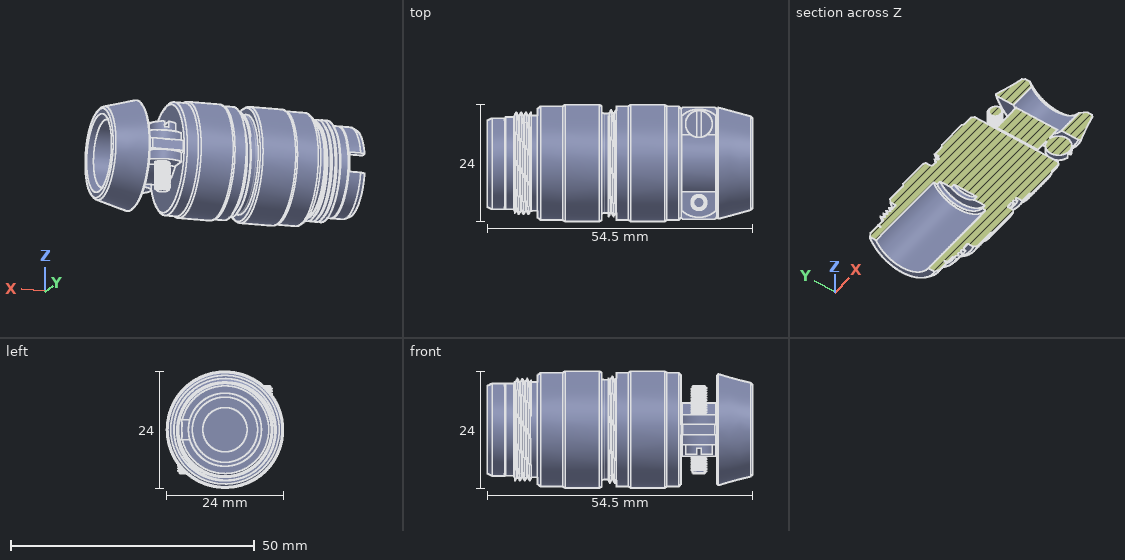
import cadquery as cq

TOTAL_LENGTH = 54.5

NOSE_TIP_RADIUS = 9.0
NOSE_RADIUS = 9.5
NOSE_CHAMFER_LENGTH = 1.05
NOSE_GROOVE_RADIUS = 8.85
NOSE_GROOVE_START = 3.6
NOSE_GROOVE_END = 3.8

THREAD_PITCH = 1.0
THREAD_DEPTH = 0.7
THREAD_BASE_WIDTH = 0.9
THREAD_OVERLAP = 0.1
FRONT_THREAD_RAMP_START = 5.45
FRONT_THREAD_START = 5.65
FRONT_THREAD_END = 9.05
FRONT_THREAD_CREST = 5.74
FRONT_THREAD_ROOT_RADIUS = 9.8
REAR_THREAD_START = 24.9
REAR_THREAD_CREST = 25.2
REAR_THREAD_ROOT_RADIUS = 10.25

SLEEVE_RADIUS = 11.7
BAND_RADIUS = 12.0
SLEEVE_EDGE_RADIUS = 11.15
FRONT_SLEEVE_START = 10.3
FRONT_SLEEVE_CHAMFER_LENGTH = 0.7
FRONT_BAND_START = 15.5
FRONT_SLEEVE_END = 23.55
REAR_SLEEVE_START = 26.55
REAR_BAND_START = 29.0
REAR_BAND_END = 36.9
REAR_SLEEVE_END = 39.8
REAR_SLEEVE_CHAMFER_LENGTH = 0.5
BAND_BEVEL_LENGTH = 0.5
GROOVE_SHOULDER_RADIUS = 10.35
GROOVE_SHOULDER_END = 24.05

BORE_RADIUS = 7.5
BORE_DEPTH = 20.0
BORE_STEP_RADIUS = 6.7
BORE_STEP_DEPTH = 1.0
BORE_BOTTOM_RADIUS = 4.55
BORE_BOTTOM_DEPTH = 1.0
KEYWAY_WIDTH = 4.1
KEYWAY_LENGTH = 3.3

CONE_START = 47.1
CONE_FRONT_RADIUS = 11.0
CONE_RADIUS = 11.45
CONE_FRONT_CHAMFER = 0.35
CONE_REAR_RADIUS = 9.65
CONE_TIP_RADIUS = 9.2
CONE_REAR_CHAMFER = 0.45
CONE_BORE_RADIUS = 7.0
CONE_BORE_CHAMFER = 1.1

CLAMP_CENTER = (REAR_SLEEVE_END + CONE_START) / 2
WEB_HALF_WIDTH = 11.5
WEB_THICKNESS = 2.15
WEB_CORNER_CHAMFER = 0.35
CLAMP_LENGTH = 6.95
EAR_TOP = 3.05
EAR_TIP = 11.1
EAR_CORNER = 9.75
SADDLE_HALF_WIDTH = 5.82
SADDLE_TOP = 5.5

SCREW_OFFSET = 8.05
SCREW_RADIUS = 1.6
SCREW_ROOT_RADIUS = 1.32
SCREW_PITCH = 0.5
SCREW_THREAD_BASE_WIDTH = 0.42
SCREW_TIP = 9.0
SCREW_TIP_CHAMFER = 0.2
SCREW_THREAD_END = SCREW_TIP - 2 * SCREW_TIP_CHAMFER
SCREW_HEAD_RADIUS = 2.75
SCREW_HEAD_HEIGHT = 1.95
SCREW_SLOT_WIDTH = 0.95
SCREW_SLOT_DEPTH = 1.2


def revolve_about_x(points):
    """Solid of revolution about X from (x, radius) points."""
    return cq.Workplane("XY").polyline(points).close().revolve(360, (0, 0, 0), (1, 0, 0))


def cylinder_along_x(start, length, radius):
    return cq.Workplane("YZ", origin=(start, 0, 0)).circle(radius).extrude(length)


def helical_ridge(pitch, height, root_radius, crest_radius, base_width):
    """Right-hand V ridge about Z whose crest starts on +X at height zero."""
    foot_radius = root_radius - THREAD_OVERLAP
    helix = cq.Wire.makeHelix(pitch, height, root_radius)
    profile = (
        cq.Workplane("XZ")
        .polyline([(foot_radius, -base_width / 2), (crest_radius, 0), (foot_radius, base_width / 2)])
        .close()
    )
    return profile.sweep(cq.Workplane(obj=helix), isFrenet=True)


def body_thread(start, end, first_crest, root_radius):
    """Thread about X, cut square at both ends; its crest crosses the underside at first_crest."""
    crest_radius = root_radius + THREAD_DEPTH
    helix_start = first_crest - THREAD_PITCH
    helix_length = end - helix_start + THREAD_PITCH
    ridge = helical_ridge(THREAD_PITCH, helix_length, root_radius, crest_radius, THREAD_BASE_WIDTH)
    ridge = ridge.rotate((0, 0, 0), (0, 1, 0), 90).translate((helix_start, 0, 0))
    return ridge.intersect(cylinder_along_x(start, end - start, crest_radius + THREAD_DEPTH))


def make_housing():
    housing = revolve_about_x([
        (0, 0),
        (0, NOSE_TIP_RADIUS),
        (NOSE_CHAMFER_LENGTH, NOSE_RADIUS),
        (NOSE_GROOVE_START, NOSE_RADIUS),
        (NOSE_GROOVE_START, NOSE_GROOVE_RADIUS),
        (NOSE_GROOVE_END, NOSE_RADIUS),
        (FRONT_THREAD_RAMP_START, NOSE_RADIUS),
        (FRONT_THREAD_START, FRONT_THREAD_ROOT_RADIUS),
        (FRONT_SLEEVE_START, FRONT_THREAD_ROOT_RADIUS),
        (FRONT_SLEEVE_START, SLEEVE_EDGE_RADIUS),
        (FRONT_SLEEVE_START + FRONT_SLEEVE_CHAMFER_LENGTH, SLEEVE_RADIUS),
        (FRONT_BAND_START, SLEEVE_RADIUS),
        (FRONT_BAND_START + BAND_BEVEL_LENGTH, BAND_RADIUS),
        (FRONT_SLEEVE_END - BAND_BEVEL_LENGTH, BAND_RADIUS),
        (FRONT_SLEEVE_END, SLEEVE_RADIUS),
        (FRONT_SLEEVE_END, GROOVE_SHOULDER_RADIUS),
        (GROOVE_SHOULDER_END, REAR_THREAD_ROOT_RADIUS),
        (REAR_SLEEVE_START, REAR_THREAD_ROOT_RADIUS),
        (REAR_SLEEVE_START, SLEEVE_RADIUS),
        (REAR_BAND_START, SLEEVE_RADIUS),
        (REAR_BAND_START + BAND_BEVEL_LENGTH, BAND_RADIUS),
        (REAR_BAND_END - BAND_BEVEL_LENGTH, BAND_RADIUS),
        (REAR_BAND_END, SLEEVE_RADIUS),
        (REAR_SLEEVE_END - REAR_SLEEVE_CHAMFER_LENGTH, SLEEVE_RADIUS),
        (REAR_SLEEVE_END, SLEEVE_EDGE_RADIUS),
        (REAR_SLEEVE_END, 0),
    ])
    front_thread = body_thread(
        FRONT_THREAD_START, FRONT_THREAD_END, FRONT_THREAD_CREST, FRONT_THREAD_ROOT_RADIUS
    )
    rear_thread = body_thread(
        REAR_THREAD_START, REAR_SLEEVE_START, REAR_THREAD_CREST, REAR_THREAD_ROOT_RADIUS
    )
    housing = housing.union(front_thread).union(rear_thread)
    return housing.cut(make_plug_bore())


def make_plug_bore():
    step_end = BORE_DEPTH + BORE_STEP_DEPTH
    bore = cylinder_along_x(0, BORE_DEPTH, BORE_RADIUS)
    bore = bore.union(cylinder_along_x(0, step_end, BORE_STEP_RADIUS))
    bore = bore.union(cylinder_along_x(0, step_end + BORE_BOTTOM_DEPTH, BORE_BOTTOM_RADIUS))
    return bore.union(make_keyway())


def make_keyway():
    """Slot through the +Y wall of the nose; its outer part runs on into the nose groove."""
    return (
        cq.Workplane("XY", origin=(0, 0, -KEYWAY_WIDTH / 2))
        .lineTo(KEYWAY_LENGTH, 0)
        .lineTo(KEYWAY_LENGTH, NOSE_GROOVE_RADIUS)
        .lineTo(NOSE_GROOVE_START, NOSE_GROOVE_RADIUS)
        .lineTo(NOSE_GROOVE_START, NOSE_RADIUS)
        .lineTo(0, NOSE_RADIUS)
        .close()
        .extrude(KEYWAY_WIDTH)
    )


def make_tail_cone():
    return revolve_about_x([
        (CONE_START, CONE_BORE_RADIUS),
        (CONE_START, CONE_FRONT_RADIUS),
        (CONE_START + CONE_FRONT_CHAMFER, CONE_RADIUS),
        (TOTAL_LENGTH - CONE_REAR_CHAMFER, CONE_REAR_RADIUS),
        (TOTAL_LENGTH, CONE_TIP_RADIUS),
        (TOTAL_LENGTH, CONE_BORE_RADIUS + CONE_BORE_CHAMFER),
        (TOTAL_LENGTH - CONE_BORE_CHAMFER, CONE_BORE_RADIUS),
    ])


def make_web():
    """Flat plate that carries the tail cone and lies between the clamp halves."""
    return (
        cq.Workplane("XY")
        .box(CONE_START - REAR_SLEEVE_END, 2 * WEB_HALF_WIDTH, WEB_THICKNESS)
        .edges("|Z")
        .chamfer(WEB_CORNER_CHAMFER)
        .translate((CLAMP_CENTER, 0, 0))
    )


def make_clamp_half():
    """Upper clamp half centred on X = 0: a plate with round-ended ears and an arched saddle."""
    half_length = CLAMP_LENGTH / 2
    ears = (
        cq.Workplane("XY")
        .moveTo(-half_length, -EAR_CORNER)
        .threePointArc((0, -EAR_TIP), (half_length, -EAR_CORNER))
        .lineTo(half_length, EAR_CORNER)
        .threePointArc((0, EAR_TIP), (-half_length, EAR_CORNER))
        .close()
        .extrude(EAR_TOP)
    )
    saddle = (
        cq.Workplane("YZ", origin=(-half_length, 0, 0))
        .moveTo(-SADDLE_HALF_WIDTH, 0)
        .lineTo(-SADDLE_HALF_WIDTH, EAR_TOP)
        .threePointArc((0, SADDLE_TOP), (SADDLE_HALF_WIDTH, EAR_TOP))
        .lineTo(SADDLE_HALF_WIDTH, 0)
        .close()
        .extrude(CLAMP_LENGTH)
    )
    clear_of_web = cq.Workplane("XY").box(2 * CLAMP_LENGTH, 4 * EAR_TIP, WEB_THICKNESS)
    return ears.union(saddle).cut(clear_of_web)


def make_screw():
    """Slotted screw on the Z axis: head under the clamp, threaded shank pointing up."""
    head_bottom = -EAR_TOP - SCREW_HEAD_HEIGHT
    shank = (
        cq.Workplane("XY", origin=(0, 0, -EAR_TOP))
        .circle(SCREW_ROOT_RADIUS)
        .extrude(EAR_TOP + SCREW_TIP)
        .faces(">Z")
        .chamfer(SCREW_TIP_CHAMFER)
    )
    thread = helical_ridge(
        SCREW_PITCH,
        SCREW_THREAD_END - EAR_TOP + SCREW_PITCH,
        SCREW_ROOT_RADIUS,
        SCREW_RADIUS,
        SCREW_THREAD_BASE_WIDTH,
    ).translate((0, 0, EAR_TOP - SCREW_PITCH))
    head_plane = cq.Workplane("XY", origin=(0, 0, head_bottom))
    head = head_plane.circle(SCREW_HEAD_RADIUS).extrude(SCREW_HEAD_HEIGHT)
    slot = head_plane.rect(SCREW_SLOT_WIDTH, 2 * SCREW_HEAD_RADIUS).extrude(SCREW_SLOT_DEPTH)
    return shank.union(thread).union(head.cut(slot))


def make_clamp():
    """Two opposed clamp halves and two opposed screws, alike under a half turn about X."""
    half = make_clamp_half()
    screw = make_screw().translate((0, -SCREW_OFFSET, 0))
    clamp = make_web()
    for angle in (0, 180):
        for piece in (half, screw):
            turned = piece.rotate((0, 0, 0), (1, 0, 0), angle)
            clamp = clamp.union(turned.translate((CLAMP_CENTER, 0, 0)))
    return clamp


result = make_housing().union(make_clamp()).union(make_tail_cone())